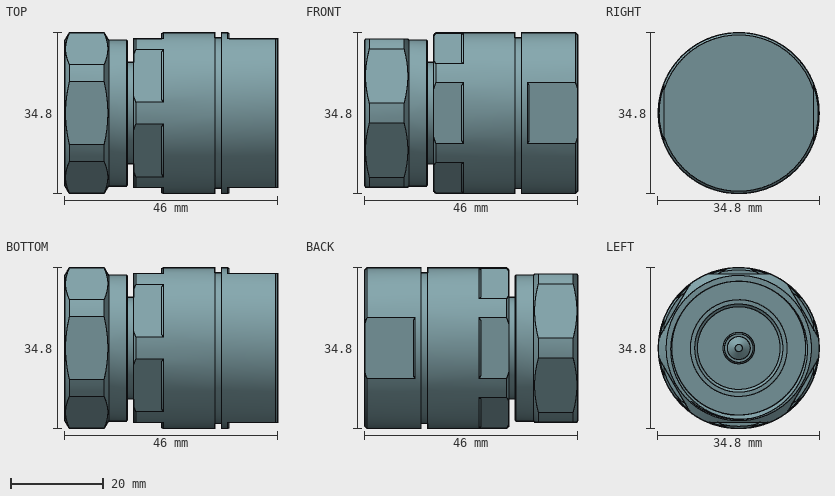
import cadquery as cq
import math

LENGTH = 46.0

CORNERS_ON_Y = 0
FLATS_ON_Y = 30

NUT_RADIUS = 17.4
NUT_FACE_RADIUS = 15.7
NUT_FLATS = 32.0
NUT_LENGTH = 9.5
NUT_CHAMFER_LENGTH = 1.0
COLLAR_RADIUS = 15.82
COLLAR_END = 13.55
COLLAR_CHAMFER = 0.28

THREAD_MINOR_RADIUS = 14.45
THREAD_DEPTH = 0.95
THREAD_PITCH = 1.5
THREAD_FLANK_ANGLE = 30.0
THREAD_START_ANGLE = -10.0
CUTTER_OVERLAP = 0.1
NUT_CAVITY_DEPTH = 5.05

SLEEVE_RADIUS = 10.45
SLEEVE_TIP = 0.05
SLEEVE_BORE_RADIUS = 8.92
SLEEVE_BORE_END = 7.6
SLEEVE_CHAMFER_RADIAL = 0.6
SLEEVE_CHAMFER_LENGTH = 0.45
PIN_RADIUS = 3.4
PIN_CONE_END = 4.15
PIN_SHOULDER = 5.6
PIN_SHOULDER_CHAMFER = 0.3
PIN_CONE_RADIUS = 2.5
PIN_TIP = 2.95
PIN_TIP_RADIUS = 0.95
PIN_TIP_CHAMFER = 0.2

NECK_RADIUS = 11.0

BODY_RADIUS = 17.4
BODY_START = 14.85
BODY_CHAMFER = 0.5
BODY_FLATS = 32.2
HEX_END = 20.95
SHOULDER_CHAMFER_LENGTH = 0.35
SHOULDER_CHAMFER_RADIAL = 0.25
GROOVE_START = 32.45
GROOVE_WIDTH = 1.4
GROOVE_RADIUS = 16.3
REAR_FLAT_START = 35.5


def turned(profile):
    """Solid of revolution about X from (x, radius) points; the first and last lie on the axis."""
    return cq.Workplane("XY").polyline(profile).close().revolve(360, (0, 0, 0), (1, 0, 0))


def cylinder(start, end, radius):
    return cq.Workplane("YZ").workplane(offset=start).circle(radius).extrude(end - start)


def hexagon(start, end, flats, turn):
    """Hexagonal prism along X, turned about X by the given angle."""
    corner_diameter = flats / math.cos(math.pi / 6)
    prism = cq.Workplane("YZ").workplane(offset=start).polygon(6, corner_diameter).extrude(end - start)
    return prism.rotate((0, 0, 0), (1, 0, 0), turn)


def thread_cutter():
    """Helical V groove with one turn of lead-in that opens the cavity wall, limited to the cavity depth."""
    base_radius = THREAD_MINOR_RADIUS - CUTTER_OVERLAP
    root_radius = THREAD_MINOR_RADIUS + THREAD_DEPTH
    half_width = (root_radius - base_radius) * math.tan(math.radians(THREAD_FLANK_ANGLE))
    height = NUT_CAVITY_DEPTH + 2 * THREAD_PITCH
    helix = cq.Wire.makeHelix(THREAD_PITCH, height, base_radius)
    groove = (
        cq.Workplane("XZ")
        .polyline([(base_radius, -half_width), (root_radius, 0), (base_radius, half_width)])
        .close()
        .sweep(cq.Workplane(helix), isFrenet=True)
    )
    groove = groove.rotate((0, 0, 0), (0, 1, 0), 90).translate((-THREAD_PITCH, 0, 0))
    groove = groove.rotate((0, 0, 0), (1, 0, 0), THREAD_START_ANGLE)
    return groove.intersect(cylinder(-THREAD_PITCH, NUT_CAVITY_DEPTH, NUT_RADIUS))


def coupling_nut():
    envelope = turned([
        (0, 0),
        (0, NUT_FACE_RADIUS),
        (NUT_CHAMFER_LENGTH, NUT_RADIUS),
        (NUT_LENGTH - NUT_CHAMFER_LENGTH, NUT_RADIUS),
        (NUT_LENGTH, NUT_FACE_RADIUS),
        (NUT_LENGTH, 0),
    ])
    head = hexagon(0, NUT_LENGTH, NUT_FLATS, CORNERS_ON_Y).intersect(envelope)
    collar = cylinder(NUT_LENGTH, COLLAR_END, COLLAR_RADIUS).faces(">X").chamfer(COLLAR_CHAMFER)
    cavity = cylinder(0, NUT_CAVITY_DEPTH, THREAD_MINOR_RADIUS)
    return head.union(collar).cut(cavity).cut(thread_cutter())


def sleeve_bore():
    """Bore of the contact sleeve with its chamfered mouth."""
    mouth_radius = SLEEVE_BORE_RADIUS + SLEEVE_CHAMFER_RADIAL
    return turned([
        (SLEEVE_TIP, 0),
        (SLEEVE_TIP, mouth_radius),
        (SLEEVE_TIP + SLEEVE_CHAMFER_LENGTH, SLEEVE_BORE_RADIUS),
        (SLEEVE_BORE_END, SLEEVE_BORE_RADIUS),
        (SLEEVE_BORE_END, 0),
    ])


def centre_pin():
    return turned([
        (PIN_TIP, 0),
        (PIN_TIP, PIN_TIP_RADIUS - PIN_TIP_CHAMFER),
        (PIN_TIP + PIN_TIP_CHAMFER, PIN_TIP_RADIUS),
        (PIN_CONE_END, PIN_CONE_RADIUS),
        (PIN_SHOULDER, PIN_CONE_RADIUS),
        (PIN_SHOULDER, PIN_RADIUS - PIN_SHOULDER_CHAMFER),
        (PIN_SHOULDER + PIN_SHOULDER_CHAMFER, PIN_RADIUS),
        (NUT_LENGTH, PIN_RADIUS),
        (NUT_LENGTH, 0),
    ])


def shouldered_barrel(start, end):
    """Barrel whose two shoulders, above the front hexagon and the rear flats, are chamfered."""
    shoulder_radius = BODY_RADIUS - SHOULDER_CHAMFER_RADIAL
    return turned([
        (start, 0),
        (start, shoulder_radius),
        (start + SHOULDER_CHAMFER_LENGTH, BODY_RADIUS),
        (end - SHOULDER_CHAMFER_LENGTH, BODY_RADIUS),
        (end, shoulder_radius),
        (end, 0),
    ])


def body():
    full = cylinder(BODY_START, LENGTH, BODY_RADIUS).faces("<X or >X").chamfer(BODY_CHAMFER)
    barrel = shouldered_barrel(HEX_END, REAR_FLAT_START)
    middle = (HEX_END + REAR_FLAT_START) / 2
    front = hexagon(BODY_START, middle, BODY_FLATS, FLATS_ON_Y)
    rear = cq.Workplane("XY").box(LENGTH - middle, BODY_FLATS, 2 * BODY_RADIUS)
    rear = rear.translate(((LENGTH + middle) / 2, 0, 0))
    groove = cylinder(GROOVE_START, GROOVE_START + GROOVE_WIDTH, LENGTH).cut(
        cylinder(GROOVE_START, GROOVE_START + GROOVE_WIDTH, GROOVE_RADIUS)
    )
    return barrel.union(full.intersect(front)).union(full.intersect(rear)).cut(groove)


sleeve = cylinder(SLEEVE_TIP, NUT_LENGTH, SLEEVE_RADIUS)
neck = cylinder(NUT_LENGTH, BODY_START, NECK_RADIUS)
mating_end = coupling_nut().union(sleeve).cut(sleeve_bore()).union(centre_pin())
result = mating_end.union(neck).union(body())